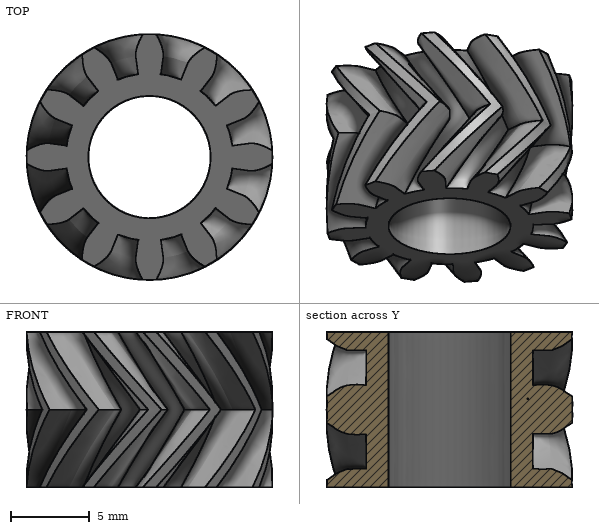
import cadquery as cq
import math

tooth_count = 12
tip_radius = 7.83
base_radius = 6.48
root_radius = 5.32
root_overlap = 0.31
bore_diameter = 7.77
height = 9.9
half_height = height / 2
helix_twist = 32.5
base_half_angle = 7.8
flank_steps = 4

tooth_pitch = 360 / tooth_count
foot_radius = root_radius - root_overlap


def polar(radius, degrees):
    """Point at a radius and angle about the gear axis."""
    angle = math.radians(degrees)
    return (radius * math.cos(angle), radius * math.sin(angle))


def involute_point(radius, side):
    """Point on one flank of the tooth centred on +X; side is -1 or 1."""
    unwind = math.sqrt((radius / base_radius) ** 2 - 1)
    lean = math.degrees(unwind - math.atan(unwind))
    return polar(radius, side * (base_half_angle - lean))


def tooth_outline():
    """One tooth: involute flanks above the base circle, radial flanks below it."""
    radius_step = (tip_radius - base_radius) / flank_steps
    radii = [base_radius + i * radius_step for i in range(flank_steps + 1)]
    rising = [involute_point(radius, -1) for radius in radii]
    falling = [involute_point(radius, 1) for radius in reversed(radii)]
    return (
        cq.Workplane("XY")
        .moveTo(*polar(foot_radius, -base_half_angle))
        .lineTo(*rising[0])
        .spline(rising[1:], includeCurrent=True)
        .threePointArc((tip_radius, 0), falling[0])
        .spline(falling[1:], includeCurrent=True)
        .lineTo(*polar(foot_radius, base_half_angle))
        .close()
    )


def herringbone_tooth():
    """Helical lower half and its mirror image above, meeting at mid height."""
    lower_half = tooth_outline().twistExtrude(half_height, helix_twist)
    upper_half = lower_half.mirror("XY").translate((0, 0, height))
    return lower_half.union(upper_half)


gear = cq.Workplane("XY").circle(root_radius).extrude(height)
tooth = herringbone_tooth()
for index in range(tooth_count):
    gear = gear.union(tooth.rotate((0, 0, 0), (0, 0, 1), index * tooth_pitch))

bore = cq.Workplane("XY").circle(bore_diameter / 2).extrude(height)
result = gear.cut(bore)